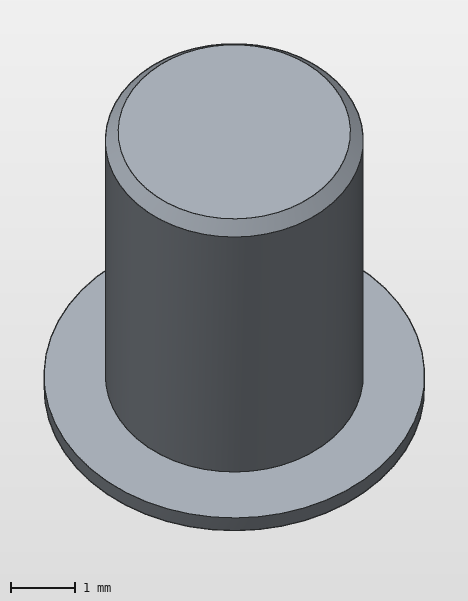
import cadquery as cq

total_height = 6.0
flange_diameter = 5.9
flange_thickness = 0.3
pin_diameter = 4.0
tip_chamfer = 0.2


def make_flange():
    """Thin round flange resting on the XY plane."""
    return cq.Workplane("XY").circle(flange_diameter / 2).extrude(flange_thickness)


def make_pin():
    """Solid cylindrical pin with a chamfered upper rim."""
    pin = cq.Workplane("XY").circle(pin_diameter / 2).extrude(total_height)
    return pin.faces(">Z").edges().chamfer(tip_chamfer)


result = make_flange().union(make_pin())